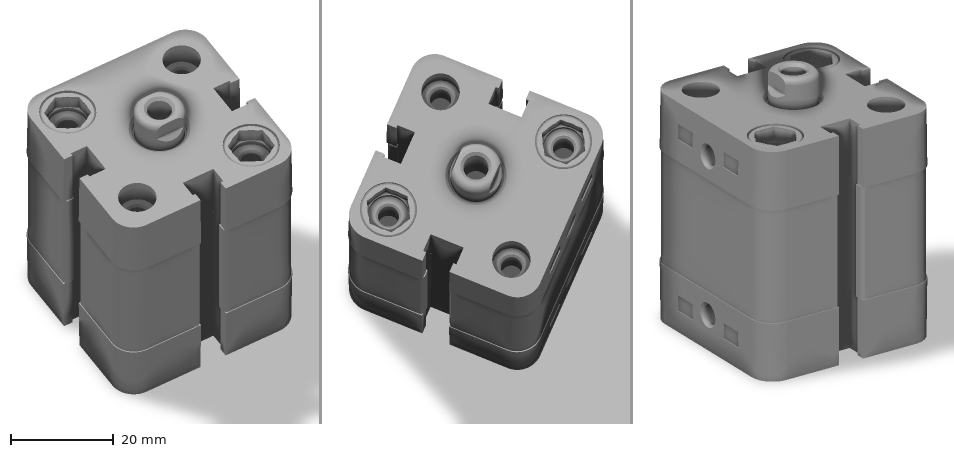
import cadquery as cq
import math

TOTAL_HEIGHT = 55.0
ROD_PROTRUSION = 6.0
CAP_HEIGHT = 12.5
HOUSING_HEIGHT = TOTAL_HEIGHT - ROD_PROTRUSION
BARREL_HEIGHT = HOUSING_HEIGHT - 2 * CAP_HEIGHT

CAP_JOINT_WIDTH = 40.3
CAP_FACE_WIDTH = 40.0
BARREL_WIDTH = CAP_FACE_WIDTH
CAP_TAPER = (CAP_JOINT_WIDTH - CAP_FACE_WIDTH) / 2
CORNER_RADIUS = 5.0

SLOT_DEPTH = 5.6
SLOT_WIDTH = 7.0
CAP_SLOT_LIP_DEPTH = 1.9
BARREL_SLOT_LIP_DEPTH = 2.15
CAP_SLOT_OPENING = 5.7
BARREL_SLOT_OPENING = 5.3
BARREL_SLOT_MOUTH = 6.5
BARREL_SLOT_FLOOR_RADIUS = 0.45
SLOT_OVERCUT = 2.75
SLOT_ANGLES = (-90, 0, 90)

CORNER_OFFSET = 13.0
CORNER_THREAD_DIAMETER = 4.1
CORNER_THREAD_CHAMFER = 0.45
CORNER_THREAD_END_DEPTH = 11.0
COUNTERBORE_DIAMETER = 7.5
COUNTERBORE_DEPTH = 4.8

HEAD_RECESS_DIAMETER = 11.1
HEAD_DIAMETER = 10.9
HEAD_CHAMFER = 0.35
HEAD_SINK = 0.15
SOCKET_ACROSS_FLATS = 8.0
HEX_SIDES = 6
HEX_TURN = 180 / HEX_SIDES
SOCKET_BORE = 8.2
SOCKET_FLOOR_BORE = 7.85
HEX_DEPTH = 3.0
SOCKET_DEPTH = 4.0

PORT_DIAMETER = 4.1
PORT_CHAMFER = 0.55
PORT_DEPTH = 5.5
PORT_FACE_DISTANCE = 7.55
LABEL_WIDTH = 5.3
LABEL_HEIGHT = 3.35
LABEL_DEPTH = 0.15
LABEL_OFFSET = 7.9
LABEL_FACE_DISTANCE = 6.2

ROD_DIAMETER = 10.0
ROD_EDGE_RADIUS = 1.25
ROD_ACROSS_FLATS = 8.0
FLAT_START = 2.55
ROD_THREAD_DIAMETER = 4.9
ROD_THREAD_CHAMFER = 0.6
ROD_THREAD_DEPTH = 11.0
WIPER_OUTER_DIAMETER = 12.0
WIPER_SEAT_DIAMETER = 11.4
WIPER_LIP_MOUTH_DIAMETER = 11.1
WIPER_LIP_DIAMETER = 10.5
WIPER_CHAMFER = (WIPER_OUTER_DIAMETER - WIPER_SEAT_DIAMETER) / 2
WIPER_GAP_DEPTH = 1.1


def cylinder(diameter, bottom, top):
    return cq.Workplane("XY").workplane(offset=bottom).circle(diameter / 2).extrude(top - bottom)


def cone(bottom_diameter, top_diameter, bottom, top):
    return cq.Workplane(
        cq.Solid.makeCone(
            bottom_diameter / 2, top_diameter / 2, top - bottom, cq.Vector(0, 0, bottom)
        )
    )


def threaded_hole(diameter, chamfer, face, bottom):
    """A blind hole going down from a face, with a chamfered mouth."""
    hole = cylinder(diameter, bottom, face)
    mouth = cone(diameter, diameter + 2 * chamfer, face - chamfer, face)
    return hole.union(mouth)


def corner_thread(face):
    bottom = HOUSING_HEIGHT - CORNER_THREAD_END_DEPTH
    return threaded_hole(CORNER_THREAD_DIAMETER, CORNER_THREAD_CHAMFER, face, bottom)


def slot_cutter(opening, lip_depth):
    """A T-shaped slot in the +X face, along the full height."""
    face = BARREL_WIDTH / 2
    cavity_depth = SLOT_DEPTH - lip_depth
    cavity = (
        cq.Workplane("XY")
        .center(face - SLOT_DEPTH + cavity_depth / 2, 0)
        .rect(cavity_depth, SLOT_WIDTH)
        .extrude(HOUSING_HEIGHT)
    )
    neck_length = SLOT_DEPTH + SLOT_OVERCUT
    neck = (
        cq.Workplane("XY")
        .center(face + SLOT_OVERCUT - neck_length / 2, 0)
        .rect(neck_length, opening)
        .extrude(HOUSING_HEIGHT)
    )
    return cavity.union(neck)


def barrel_slot_cutter():
    """The barrel's slot, with a flared mouth and rounded floor corners."""
    face = BARREL_WIDTH / 2
    flare = (BARREL_SLOT_MOUTH - BARREL_SLOT_OPENING) / 2
    throat = face - flare
    mouth = (
        cq.Workplane("XY")
        .polyline(
            [
                (throat, BARREL_SLOT_OPENING / 2),
                (face, BARREL_SLOT_MOUTH / 2),
                (face, -BARREL_SLOT_MOUTH / 2),
                (throat, -BARREL_SLOT_OPENING / 2),
            ]
        )
        .close()
        .extrude(HOUSING_HEIGHT)
    )
    slot = slot_cutter(BARREL_SLOT_OPENING, BARREL_SLOT_LIP_DEPTH)
    slot = slot.faces("<X").edges("|Z").fillet(BARREL_SLOT_FLOOR_RADIUS)
    return slot.union(mouth)


def cut_slots(body, cutter):
    for angle in SLOT_ANGLES:
        body = body.cut(cutter.rotate((0, 0, 0), (0, 0, 1), angle))
    return body


def side_recesses(cap_face, inward):
    """The air port and two label recesses; inward is the Z direction from the cap face to the joint."""
    port_z = cap_face + inward * PORT_FACE_DISTANCE
    side = CAP_FACE_WIDTH / 2 + CAP_TAPER * PORT_FACE_DISTANCE / CAP_HEIGHT
    overcut = PORT_CHAMFER
    mouth_diameter = PORT_DIAMETER + 2 * (PORT_CHAMFER + overcut)
    port = cylinder(PORT_DIAMETER, side - PORT_DEPTH, side + overcut)
    mouth = cone(PORT_DIAMETER, mouth_diameter, side - PORT_CHAMFER, side + overcut)
    port = port.union(mouth).rotate((0, 0, 0), (0, 1, 0), -90).translate((0, 0, port_z))
    labels = (
        cq.Workplane("YZ", origin=(-CAP_FACE_WIDTH / 2 + LABEL_DEPTH, 0, 0))
        .pushPoints([(y, cap_face + inward * LABEL_FACE_DISTANCE) for y in (-LABEL_OFFSET, LABEL_OFFSET)])
        .rect(LABEL_WIDTH, LABEL_HEIGHT)
        .extrude(-LABEL_DEPTH - CAP_TAPER)
    )
    return port.union(labels)


def cap_blank(joint, inward):
    """A tapered, slotted cap with its side recesses, without anything in its end face."""
    taper = math.degrees(math.atan(CAP_TAPER / CAP_HEIGHT))
    blank = (
        cq.Workplane("XY")
        .workplane(offset=joint)
        .sketch()
        .rect(CAP_JOINT_WIDTH, CAP_JOINT_WIDTH)
        .vertices()
        .fillet(CORNER_RADIUS)
        .finalize()
        .extrude(-inward * CAP_HEIGHT, taper=taper)
    )
    blank = cut_slots(blank, slot_cutter(CAP_SLOT_OPENING, CAP_SLOT_LIP_DEPTH))
    return blank.cut(side_recesses(joint - inward * CAP_HEIGHT, inward))


def screw_head_recess():
    """The space around and above a chamfered screw head, and the hexagon socket in it."""
    head_top = HOUSING_HEIGHT - HEAD_SINK
    chamfer_bottom = head_top - HEAD_CHAMFER
    clearance = cylinder(HEAD_RECESS_DIAMETER, chamfer_bottom, HOUSING_HEIGHT).cut(
        cone(HEAD_DIAMETER, HEAD_DIAMETER - 2 * HEAD_CHAMFER, chamfer_bottom, head_top)
    )
    hexagon = (
        cq.Workplane("XY")
        .workplane(offset=head_top - HEX_DEPTH)
        .polygon(HEX_SIDES, SOCKET_ACROSS_FLATS, circumscribed=True)
        .extrude(HEX_DEPTH)
        .rotate((0, 0, 0), (0, 0, 1), HEX_TURN)
    )
    socket_floor = head_top - SOCKET_DEPTH
    bore = cylinder(SOCKET_BORE, head_top - HEX_DEPTH, head_top)
    floor_bore = cylinder(SOCKET_FLOOR_BORE, socket_floor, head_top)
    return clearance.union(hexagon).union(bore).union(floor_bore).union(corner_thread(socket_floor))


def counterbored_hole():
    face = HOUSING_HEIGHT
    counterbore = cylinder(COUNTERBORE_DIAMETER, face - COUNTERBORE_DEPTH, face)
    return counterbore.union(corner_thread(face - COUNTERBORE_DEPTH))


def rod_opening():
    """The rod bore with the wiper gap, its conical lip and the chamfered seat at the mouth."""
    face = HOUSING_HEIGHT
    bore = cylinder(ROD_DIAMETER, face - CAP_HEIGHT, face)
    gap = cylinder(WIPER_LIP_DIAMETER, face - WIPER_GAP_DEPTH, face)
    seat_bottom = face - WIPER_CHAMFER
    seat = cone(WIPER_SEAT_DIAMETER, WIPER_OUTER_DIAMETER, seat_bottom, face)
    lip_bottom = seat_bottom - WIPER_CHAMFER
    lip = cone(WIPER_LIP_DIAMETER, WIPER_LIP_MOUTH_DIAMETER, lip_bottom, seat_bottom)
    return bore.union(gap).union(lip).union(seat)


def make_bottom_cap():
    return cap_blank(CAP_HEIGHT, 1)


def make_top_cap():
    cap = cap_blank(HOUSING_HEIGHT - CAP_HEIGHT, -1)
    for side in (-1, 1):
        cap = cap.cut(screw_head_recess().translate((side * CORNER_OFFSET, side * CORNER_OFFSET, 0)))
        cap = cap.cut(counterbored_hole().translate((side * CORNER_OFFSET, -side * CORNER_OFFSET, 0)))
    return cap.cut(rod_opening())


def make_barrel():
    barrel = (
        cq.Workplane("XY")
        .workplane(offset=CAP_HEIGHT)
        .rect(BARREL_WIDTH, BARREL_WIDTH)
        .extrude(BARREL_HEIGHT)
        .edges("|Z")
        .fillet(CORNER_RADIUS)
    )
    return cut_slots(barrel, barrel_slot_cutter())


def make_rod():
    """The piston rod with a rounded end, a threaded hole and two wrench flats with sloping ends."""
    rod = cylinder(ROD_DIAMETER, HOUSING_HEIGHT - CAP_HEIGHT, TOTAL_HEIGHT)
    rod = rod.faces(">Z").edges().fillet(ROD_EDGE_RADIUS)
    flat_bottom = HOUSING_HEIGHT + FLAT_START
    flat = ROD_ACROSS_FLATS / 2
    outside = ROD_DIAMETER
    for side in (-1, 1):
        wedge = (
            cq.Workplane("XZ")
            .polyline(
                [
                    (side * flat, TOTAL_HEIGHT),
                    (side * flat, flat_bottom),
                    (side * outside, flat_bottom - (outside - flat)),
                    (side * outside, TOTAL_HEIGHT),
                ]
            )
            .close()
            .extrude(ROD_DIAMETER / 2, both=True)
        )
        rod = rod.cut(wedge)
    thread_bottom = TOTAL_HEIGHT - ROD_THREAD_DEPTH
    return rod.cut(threaded_hole(ROD_THREAD_DIAMETER, ROD_THREAD_CHAMFER, TOTAL_HEIGHT, thread_bottom))


bottom_cap = make_bottom_cap()
barrel = make_barrel()
top_cap = make_top_cap()
rod = make_rod()

result = cq.Compound.makeCompound([bottom_cap.val(), barrel.val(), top_cap.val(), rod.val()])